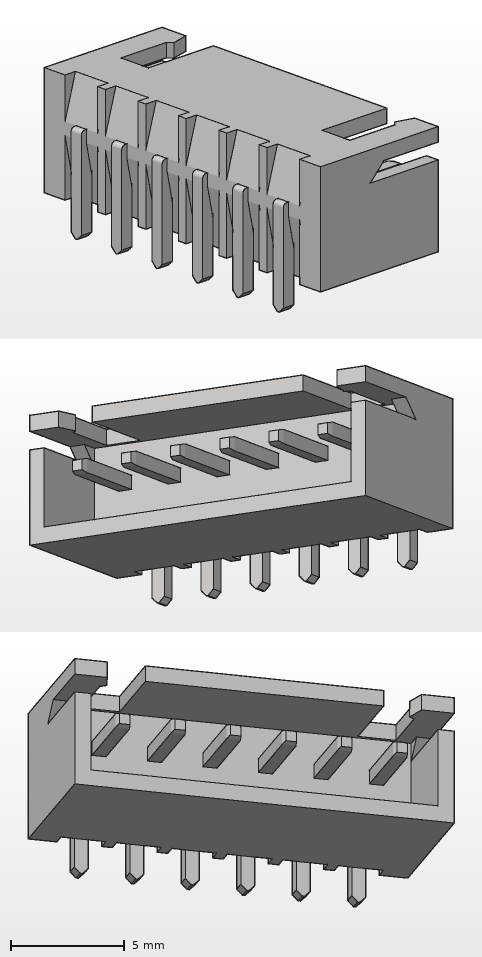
import cadquery as cq

HOUSING_LENGTH = 17.37
HOUSING_DEPTH = 7.23
HOUSING_HEIGHT = 5.87

TOP_WALL = 0.73
BOTTOM_WALL = TOP_WALL
SIDE_WALL = 0.75
CAVITY_DEPTH = 4.17

TOP_SLOT_INSET = 1.5
TOP_SLOT_WIDTH = 1.74
TOP_SLOT_DEPTH = 3.98
BUMP_HEIGHT = 0.26
BUMP_PEAK_DEPTH = 0.99
BUMP_END_DEPTH = 1.2

SIDE_SLOT_HEIGHT = 0.83
SIDE_SLOT_UPPER_DEPTH = 3.34
SIDE_SLOT_LOWER_DEPTH = CAVITY_DEPTH

PIN_COUNT = 6
PIN_ROW_LENGTH = 12.7
PIN_SIZE = 0.65
PIN_PROTRUSION = 0.31
PIN_TOP_BELOW_HOUSING_TOP = 2.19
PIN_LEG_BELOW_HOUSING = 1.48
PIN_BEND_RADIUS = 0.2
LEG_TIP_LENGTH = 0.26
LEG_TIP_WIDTH = 0.1
CONTACT_TIP_GAP = 0.19
CONTACT_TIP_LENGTH = 0.31
CONTACT_TIP_WIDTH = 0.49

POCKET_WIDTH = 2.05
POCKET_DEPTH = 0.65

front = HOUSING_DEPTH
cavity_ceiling = HOUSING_HEIGHT - TOP_WALL
pin_top = HOUSING_HEIGHT - PIN_TOP_BELOW_HOUSING_TOP
pin_underside = pin_top - PIN_SIZE
pin_pitch = PIN_ROW_LENGTH / (PIN_COUNT - 1)
pin_positions = [(i - (PIN_COUNT - 1) / 2) * pin_pitch for i in range(PIN_COUNT)]


def extrude_along_x(points, width, x_center=0.0):
    """Prism with a (Y, Z) outline, centred on x_center."""
    return cq.Workplane("YZ", origin=(x_center, 0, 0)).polyline(points).close().extrude(width / 2, both=True)


def make_cavity():
    return cq.Workplane("XY", origin=(0, front - CAVITY_DEPTH, BOTTOM_WALL)).box(
        HOUSING_LENGTH - 2 * SIDE_WALL,
        CAVITY_DEPTH,
        cavity_ceiling - BOTTOM_WALL,
        centered=(True, False, False),
    )


def make_side_slots():
    """One slanted-end slot running through both side walls."""
    floor = cavity_ceiling - SIDE_SLOT_HEIGHT
    outline = [
        (front, cavity_ceiling),
        (front - SIDE_SLOT_UPPER_DEPTH, cavity_ceiling),
        (front - SIDE_SLOT_LOWER_DEPTH, floor),
        (front, floor),
    ]
    return extrude_along_x(outline, HOUSING_LENGTH)


def make_left_top_slot():
    """Slot through the top wall, with the latch bump left standing on its outer side."""
    outer = TOP_SLOT_INSET - HOUSING_LENGTH / 2
    inner = outer + TOP_SLOT_WIDTH
    outline = [
        (outer, front),
        (outer + BUMP_HEIGHT, front - BUMP_PEAK_DEPTH),
        (outer, front - BUMP_END_DEPTH),
        (outer, front - TOP_SLOT_DEPTH),
        (inner, front - TOP_SLOT_DEPTH),
        (inner, front),
    ]
    return cq.Workplane("XY", origin=(0, 0, cavity_ceiling)).polyline(outline).close().extrude(TOP_WALL)


def make_back_pockets(x):
    """Two wedges that deepen away from the band holding the pin."""
    upper = [(0, pin_top), (0, HOUSING_HEIGHT), (POCKET_DEPTH, HOUSING_HEIGHT)]
    lower = [(0, pin_underside), (0, 0), (POCKET_DEPTH, 0)]
    return [extrude_along_x(outline, POCKET_WIDTH, x) for outline in (upper, lower)]


def make_pin(x):
    """L-shaped pin: a leg down the back face and a contact reaching into the cavity."""
    leg_back = -PIN_PROTRUSION
    leg_front = leg_back + PIN_SIZE
    leg_bottom = -PIN_LEG_BELOW_HOUSING
    leg_shoulder = leg_bottom + LEG_TIP_LENGTH
    contact_end = front - CONTACT_TIP_GAP
    contact_shoulder = contact_end - CONTACT_TIP_LENGTH

    outline = [
        (leg_back, leg_shoulder),
        (leg_back, pin_top),
        (contact_shoulder, pin_top),
        (contact_shoulder, pin_underside),
        (leg_front, pin_underside),
        (leg_front, leg_shoulder),
    ]
    bar = extrude_along_x(outline, PIN_SIZE, x)
    bar = bar.edges(cq.selectors.NearestToPointSelector((x, leg_back, pin_top))).fillet(PIN_BEND_RADIUS)

    leg_tip = (
        cq.Workplane("XZ", origin=(x, leg_front, 0))
        .polyline([
            (-PIN_SIZE / 2, leg_shoulder),
            (PIN_SIZE / 2, leg_shoulder),
            (LEG_TIP_WIDTH / 2, leg_bottom),
            (-LEG_TIP_WIDTH / 2, leg_bottom),
        ])
        .close()
        .extrude(PIN_SIZE)
    )
    contact_tip = (
        cq.Workplane("XZ", origin=(x, contact_shoulder, pin_top - PIN_SIZE / 2))
        .rect(PIN_SIZE, PIN_SIZE)
        .workplane(offset=-CONTACT_TIP_LENGTH)
        .rect(CONTACT_TIP_WIDTH, CONTACT_TIP_WIDTH)
        .loft(ruled=True)
    )
    return bar.union(leg_tip).union(contact_tip)


def make_housing(pins):
    body = cq.Workplane("XY").box(
        HOUSING_LENGTH, HOUSING_DEPTH, HOUSING_HEIGHT, centered=(True, False, False)
    )
    left_slot = make_left_top_slot()
    body = body.cut(make_cavity()).cut(make_side_slots())
    body = body.cut(left_slot).cut(left_slot.mirror("YZ"))
    for x in pin_positions:
        for pocket in make_back_pockets(x):
            body = body.cut(pocket)
    for pin in pins:
        body = body.cut(pin)
    return body


pins = [make_pin(x) for x in pin_positions]
housing = make_housing(pins)

result = cq.Compound.makeCompound([housing.val(), *[pin.val() for pin in pins]])